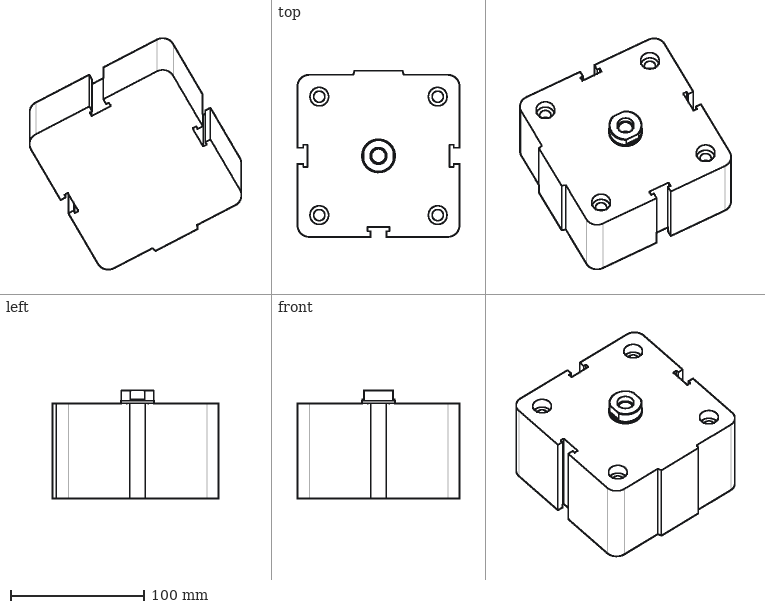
import cadquery as cq

side = 122.0
height = 71.5
corner_radius = 9.0

pad_root_width = 38.0
pad_face_width = 36.2
pad_projection = 3.0

slot_mouth_width = 12.0
slot_undercut_width = 16.5
slot_depth = 7.5
slot_lip_thickness = 4.5
slot_angles = (-90, 0, 90)

hole_spacing = 89.0
counterbore_diameter = 14.0
counterbore_depth = 8.5
hole_diameter = 8.4
hole_depth = 19.5

rod_diameter = 24.5
rod_projection = 10.0
rod_seat_depth = 19.5
rod_tip_chamfer = 0.5
rod_tip = height + rod_projection
collar_diameter = 25.0
collar_height = 2.0

flats_across = 22.0
flats_height = 7.0

bore_diameter = 12.5
bore_depth = 5.0
core_diameter = 10.5
core_depth = 19.5


def cylinder(diameter, bottom, top):
    """Upright cylinder on the Z axis."""
    return cq.Workplane("XY", origin=(0, 0, bottom)).circle(diameter / 2).extrude(top - bottom)


def make_pad():
    """Full-height pad with sloping sides, reaching from the block centre to beyond the +Y side."""
    pad_root = side / 2
    pad_face = pad_root + pad_projection
    return (
        cq.Workplane("XY")
        .moveTo(-pad_root_width / 2, 0)
        .lineTo(-pad_root_width / 2, pad_root)
        .lineTo(-pad_face_width / 2, pad_face)
        .lineTo(pad_face_width / 2, pad_face)
        .lineTo(pad_root_width / 2, pad_root)
        .lineTo(pad_root_width / 2, 0)
        .close()
        .extrude(height)
    )


def make_t_slot():
    """Cutter for the T-slot in the -Y side."""
    upright = (True, False, False)
    mouth = cq.Workplane("XY").box(slot_mouth_width, slot_depth, height, centered=upright)
    undercut = (
        cq.Workplane("XY", origin=(0, slot_lip_thickness, 0))
        .box(slot_undercut_width, slot_depth - slot_lip_thickness, height, centered=upright)
    )
    return mouth.union(undercut).translate((0, -side / 2, 0))


def make_corner_holes():
    """Cutter for the four counterbored holes."""
    centres = cq.Workplane("XY", origin=(0, 0, height)).rect(
        hole_spacing, hole_spacing, forConstruction=True
    ).vertices()
    holes = centres.circle(hole_diameter / 2).extrude(-hole_depth)
    counterbores = centres.circle(counterbore_diameter / 2).extrude(-counterbore_depth)
    return holes.union(counterbores)


def make_housing():
    block = (
        cq.Workplane("XY")
        .box(side, side, height, centered=(True, True, False))
        .edges("|Z")
        .fillet(corner_radius)
        .union(make_pad())
    )
    for angle in slot_angles:
        block = block.cut(make_t_slot().rotate((0, 0, 0), (0, 0, 1), angle))
    rod_seat = cylinder(rod_diameter, height - rod_seat_depth, height)
    return block.cut(make_corner_holes()).cut(rod_seat)


def make_rod():
    shaft = (
        cylinder(rod_diameter, height - rod_seat_depth, rod_tip)
        .faces(">Z")
        .chamfer(rod_tip_chamfer)
    )

    flats_bottom = rod_tip - flats_height
    flats = cylinder(2 * rod_diameter, flats_bottom, rod_tip).cut(
        cq.Workplane("XY", origin=(0, 0, flats_bottom))
        .box(flats_across, 2 * rod_diameter, flats_height, centered=(True, True, False))
    )

    collar = cylinder(collar_diameter, height, height + collar_height)
    bore = cylinder(bore_diameter, rod_tip - bore_depth, rod_tip)
    core = cylinder(core_diameter, rod_tip - core_depth, rod_tip)
    return shaft.cut(flats).union(collar).cut(bore).cut(core)


housing = make_housing()
rod = make_rod()
result = cq.Compound.makeCompound([housing.val(), rod.val()])